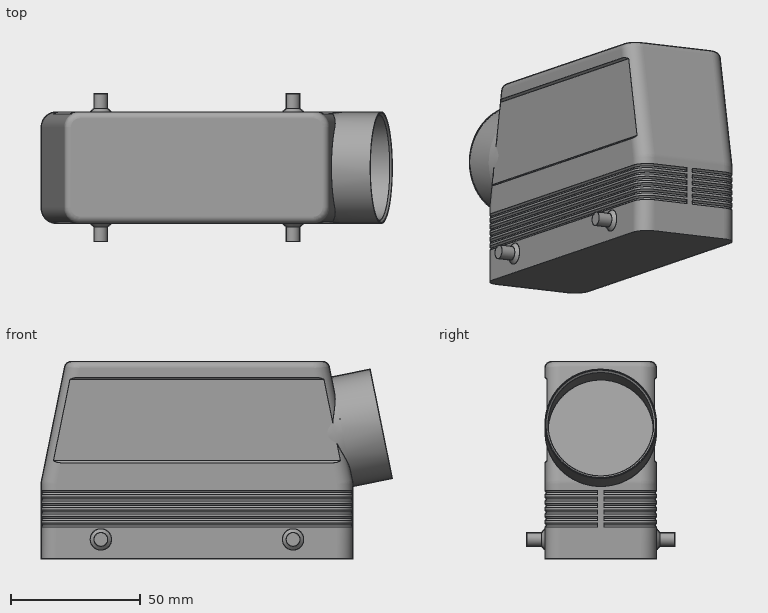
import cadquery as cq
import math

LENGTH = 120.0
WIDTH = 43.0
HEIGHT = 76.0
FOLD_Z = 29.5
LEAN = 11.5
FOLD_RADIUS = 6.0
CORNER_RADIUS = 6.0
TOP_RADIUS = 2.6

RECESS_DEPTH = 0.8
RECESS_BOTTOM = 37.0
RECESS_TOP = 69.9

GROOVE_COUNT = 6
GROOVE_PITCH = 2.5
GROOVE_FIRST_Z = 13.0
GROOVE_WIDTH = 1.6
GROOVE_DEPTH = 0.6
GROOVE_GAP = 2.6

PIN_SPACING = 74.0
PIN_Z = 7.5
PIN_DIAMETER = 5.3
PIN_SPAN = 57.0
COLLAR_DIAMETER = 8.2
COLLAR_HEIGHT = 1.3

TUBE_RADIUS = WIDTH / 2
TUBE_TIP_X = 75.24
TUBE_CENTER_Z = 52.0
TUBE_LENGTH = 15.2
TUBE_WALL = 1.2
RIM_CHAMFER = 0.8
ROOT_LENGTH = 8.0
ROOT_END_RADIUS = 20.4

OVERLAP = 1.0


def make_body():
    half = LENGTH / 2
    top_half = half - (HEIGHT - FOLD_Z) * math.tan(math.radians(LEAN))
    tangent = FOLD_RADIUS * math.tan(math.radians(LEAN / 2))
    body = (
        cq.Workplane("XZ")
        .polyline([
            (-half, 0),
            (half, 0),
            (half, FOLD_Z),
            (top_half, HEIGHT),
            (-top_half, HEIGHT),
            (-half, FOLD_Z),
        ])
        .close()
        .extrude(WIDTH / 2, both=True)
    )
    folds = cq.selectors.BoxSelector(
        (-half - OVERLAP, -WIDTH, FOLD_Z - tangent), (half + OVERLAP, WIDTH, FOLD_Z + tangent)
    )
    body = body.edges("|Y").edges(folds).fillet(FOLD_RADIUS)
    body = body.faces("<Y or >Y").edges("not(<Z or >Z)").fillet(CORNER_RADIUS)
    return body.faces(">Z").edges().fillet(TOP_RADIUS)


def recess_cutter():
    outer = WIDTH / 2
    floor = outer - RECESS_DEPTH
    return (
        cq.Workplane("YZ")
        .polyline([
            (outer, RECESS_BOTTOM),
            (floor, RECESS_BOTTOM + RECESS_DEPTH),
            (floor, RECESS_TOP - RECESS_DEPTH),
            (outer, RECESS_TOP),
        ])
        .close()
        .extrude(LENGTH / 2, both=True)
    )


def groove_ring(z):
    """V groove following the rounded base outline, without the end strips."""
    half_width = GROOVE_WIDTH / 2
    slope = math.degrees(math.atan(GROOVE_DEPTH / half_width))
    outline = cq.Sketch().rect(LENGTH, WIDTH).vertices().fillet(CORNER_RADIUS)
    plane = cq.Workplane("XY", origin=(0, 0, z - half_width))
    band = plane.placeSketch(outline).extrude(GROOVE_WIDTH)
    lower_core = plane.placeSketch(outline).extrude(half_width, taper=slope)
    upper_core = lower_core.mirror("XY", (0, 0, z))
    strip = cq.Workplane("XY", origin=(0, 0, z)).box(LENGTH, GROOVE_GAP, GROOVE_WIDTH)
    return band.cut(lower_core).cut(upper_core).cut(strip)


def make_pin(x):
    """Pin along +Y with a conical collar at the hood wall."""
    wall = WIDTH / 2
    pin_radius = PIN_DIAMETER / 2
    collar_radius = COLLAR_DIAMETER / 2
    return (
        cq.Workplane("XY")
        .polyline([
            (0, wall - OVERLAP),
            (collar_radius, wall - OVERLAP),
            (collar_radius, wall),
            (pin_radius, wall + COLLAR_HEIGHT),
            (pin_radius, PIN_SPAN / 2),
            (0, PIN_SPAN / 2),
        ])
        .close()
        .revolve(360, (0, 0), (0, 1))
        .translate((x, 0, PIN_Z))
    )


def tube_plane():
    """Plane of the tube's foot, its normal along the tube axis."""
    tilt = math.radians(LEAN)
    axis = (math.cos(tilt), 0, math.sin(tilt))
    rim_x = TUBE_TIP_X - TUBE_RADIUS * math.sin(tilt)
    rim = cq.Vector(rim_x, 0, TUBE_CENTER_Z)
    foot = rim - cq.Vector(*axis) * TUBE_LENGTH
    return cq.Plane(origin=foot.toTuple(), xDir=(0, 1, 0), normal=axis)


def make_tube():
    """Straight tube with a slightly tapered root reaching into the hood."""
    plane = tube_plane()
    tube = cq.Workplane(plane).circle(TUBE_RADIUS).extrude(TUBE_LENGTH)
    root = (
        cq.Workplane(plane).circle(TUBE_RADIUS)
        .workplane(offset=-ROOT_LENGTH).circle(ROOT_END_RADIUS)
        .loft()
    )
    return tube.union(root)


def tube_bore():
    """Blind bore down to the tube's foot, chamfered at the rim."""
    bore_radius = TUBE_RADIUS - TUBE_WALL
    bore = cq.Workplane(tube_plane()).circle(bore_radius).extrude(TUBE_LENGTH)
    mouth = (
        cq.Workplane(tube_plane())
        .workplane(offset=TUBE_LENGTH - RIM_CHAMFER).circle(bore_radius)
        .workplane(offset=RIM_CHAMFER).circle(bore_radius + RIM_CHAMFER)
        .loft()
    )
    return bore.union(mouth)


hood = make_body()

recess = recess_cutter()
hood = hood.cut(recess).cut(recess.mirror("XZ"))

for i in range(GROOVE_COUNT):
    hood = hood.cut(groove_ring(GROOVE_FIRST_Z + i * GROOVE_PITCH))

for x in (-PIN_SPACING / 2, PIN_SPACING / 2):
    pin = make_pin(x)
    hood = hood.union(pin).union(pin.mirror("XZ"))

result = hood.union(make_tube()).cut(tube_bore())